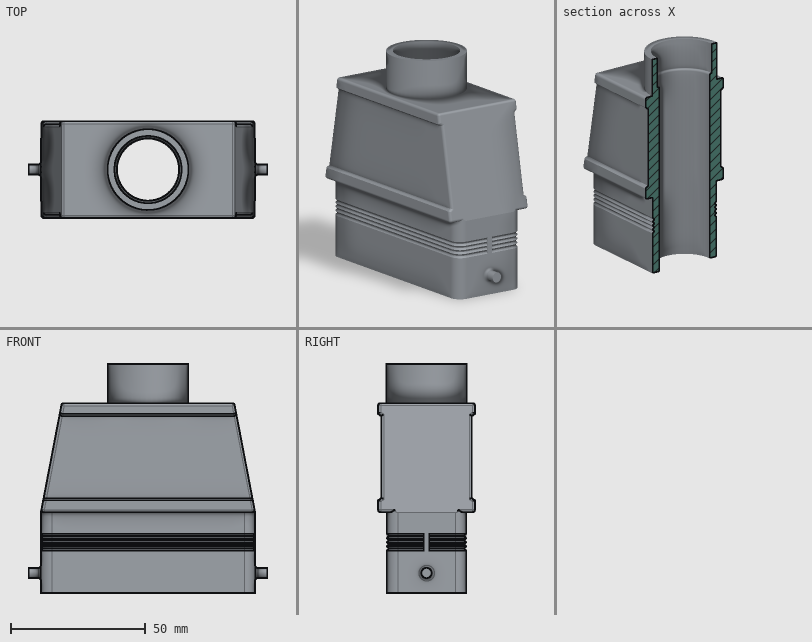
import cadquery as cq

TOTAL_HEIGHT = 85.0
PIN_SPAN = 88.5

BODY_LENGTH = 79.5
BODY_WIDTH = 29.5
BODY_CORNER_RADIUS = 4.0

HOOD_WIDTH = 36.0
HOOD_BOTTOM = 30.0
HOOD_TOP = 70.5
HOOD_TOP_LENGTH = 64.0
HOOD_EDGE_RADIUS = 1.0
NECK_HEIGHT = 2 * HOOD_EDGE_RADIUS

RECESS_DEPTH = 1.2
RECESS_BOTTOM = 34.4
RECESS_TOP = 66.5
RECESS_STEP_HEIGHT = 0.85

GROOVE_COUNT = 4
GROOVE_BOTTOM = 15.8
GROOVE_DEPTH = 0.65
GROOVE_FLOOR = 0.25
GROOVE_PITCH = 2 * GROOVE_DEPTH + GROOVE_FLOOR
GROOVE_GAP = 2.0

PIN_DIAMETER = 3.8
PIN_HEIGHT = 7.5
PIN_ROOT_RADIUS = 1.0

SPOUT_DIAMETER = 30.0
SPOUT_BORE_DIAMETER = 25.0
SPOUT_BORE_DEPTH = 11.5
PASSAGE_DIAMETER = 23.0
PASSAGE_EDGE_RADIUS = 0.8


def body_section(height, inset=0.0):
    """Rounded rectangle of the body at the given height, shrunk by inset on every side."""
    return (
        cq.Sketch()
        .rect(BODY_LENGTH - 2 * inset, BODY_WIDTH - 2 * inset)
        .vertices()
        .fillet(BODY_CORNER_RADIUS - inset)
        .moved(cq.Location(cq.Vector(0, 0, height)))
    )


def body_slice(bottom, height, bottom_inset, top_inset):
    """Slice of the body between two heights, with its own inset at each of them."""
    sections = (body_section(bottom, bottom_inset), body_section(bottom + height, top_inset))
    return cq.Workplane("XY").placeSketch(*sections).loft(ruled=True)


def make_body():
    """Lower body with the grip grooves cut around it."""
    groove_height = GROOVE_COUNT * GROOVE_PITCH
    groove_top = GROOVE_BOTTOM + groove_height
    body = body_slice(0, GROOVE_BOTTOM, 0, 0)
    for index in range(GROOVE_COUNT):
        floor_bottom = GROOVE_BOTTOM + index * GROOVE_PITCH + GROOVE_DEPTH
        floor_top = floor_bottom + GROOVE_FLOOR
        body = body.union(body_slice(floor_bottom - GROOVE_DEPTH, GROOVE_DEPTH, 0, GROOVE_DEPTH))
        body = body.union(body_slice(floor_bottom, GROOVE_FLOOR, GROOVE_DEPTH, GROOVE_DEPTH))
        body = body.union(body_slice(floor_top, GROOVE_DEPTH, GROOVE_DEPTH, 0))
    body = body.union(body_slice(groove_top, HOOD_BOTTOM - groove_top, 0, 0))
    gap_fill = cq.Workplane("XY").box(BODY_LENGTH, GROOVE_GAP, groove_height, centered=(True, True, False))
    return body.union(gap_fill.translate((0, 0, GROOVE_BOTTOM)))


def hood_block():
    """Tapered block of the hood, centred on Y, with sharp edges."""
    return (
        cq.Workplane("XZ")
        .moveTo(-BODY_LENGTH / 2, HOOD_BOTTOM)
        .lineTo(BODY_LENGTH / 2, HOOD_BOTTOM)
        .lineTo(HOOD_TOP_LENGTH / 2, HOOD_TOP)
        .lineTo(-HOOD_TOP_LENGTH / 2, HOOD_TOP)
        .close()
        .extrude(HOOD_WIDTH / 2, both=True)
    )


def side_recess(side):
    """Cutter for the recess on one long side; side is -1 or +1 along Y."""
    outer = side * HOOD_WIDTH / 2
    floor = outer - side * RECESS_DEPTH
    return (
        cq.Workplane("YZ")
        .moveTo(outer, RECESS_BOTTOM)
        .lineTo(floor, RECESS_BOTTOM + RECESS_STEP_HEIGHT)
        .lineTo(floor, RECESS_TOP - RECESS_STEP_HEIGHT)
        .lineTo(outer, RECESS_TOP)
        .close()
        .extrude(BODY_LENGTH, both=True)
    )


def make_hood():
    """Hood with side recesses and rounded edges, filled in where it sits on the body."""
    hood = hood_block()
    for side in (-1, 1):
        hood = hood.cut(side_recess(side))
    end_edges = hood.faces("<X or >X").edges()
    long_edges = hood.faces("<Z or >Z").edges("|X")
    hood = hood.newObject(end_edges.vals() + long_edges.vals()).fillet(HOOD_EDGE_RADIUS)
    neck = body_slice(HOOD_BOTTOM, NECK_HEIGHT, 0, 0).intersect(hood_block())
    return hood.union(neck)


def make_pin(side):
    """Locking pin with a flared root on one end; side is -1 or +1 along X."""
    face = BODY_LENGTH / 2
    radius = PIN_DIAMETER / 2
    return (
        cq.Workplane("XY")
        .moveTo(0, 0)
        .lineTo(side * PIN_SPAN / 2, 0)
        .lineTo(side * PIN_SPAN / 2, radius)
        .lineTo(side * (face + PIN_ROOT_RADIUS), radius)
        .radiusArc((side * face, radius + PIN_ROOT_RADIUS), side * PIN_ROOT_RADIUS)
        .lineTo(0, radius + PIN_ROOT_RADIUS)
        .close()
        .revolve(360, (0, 0, 0), (1, 0, 0))
        .translate((0, 0, PIN_HEIGHT))
    )


def make_spout():
    """Solid cable spout standing on the hood."""
    return (
        cq.Workplane("XY", origin=(0, 0, HOOD_TOP))
        .circle(SPOUT_DIAMETER / 2)
        .extrude(TOTAL_HEIGHT - HOOD_TOP)
    )


def make_passage():
    """Stepped passage from the spout's mouth to the underside, with a rounded shoulder."""
    shoulder = TOTAL_HEIGHT - SPOUT_BORE_DEPTH
    bore_radius = SPOUT_BORE_DIAMETER / 2
    passage_radius = PASSAGE_DIAMETER / 2
    arc_end = (passage_radius + PASSAGE_EDGE_RADIUS, shoulder)
    return (
        cq.Workplane("XZ")
        .moveTo(0, 0)
        .lineTo(passage_radius, 0)
        .lineTo(passage_radius, shoulder - PASSAGE_EDGE_RADIUS)
        .radiusArc(arc_end, PASSAGE_EDGE_RADIUS)
        .lineTo(bore_radius, shoulder)
        .lineTo(bore_radius, TOTAL_HEIGHT)
        .lineTo(0, TOTAL_HEIGHT)
        .close()
        .revolve(360, (0, 0, 0), (0, 1, 0))
    )


result = make_body().union(make_hood()).union(make_spout())
for pin_side in (-1, 1):
    result = result.union(make_pin(pin_side))
result = result.cut(make_passage())